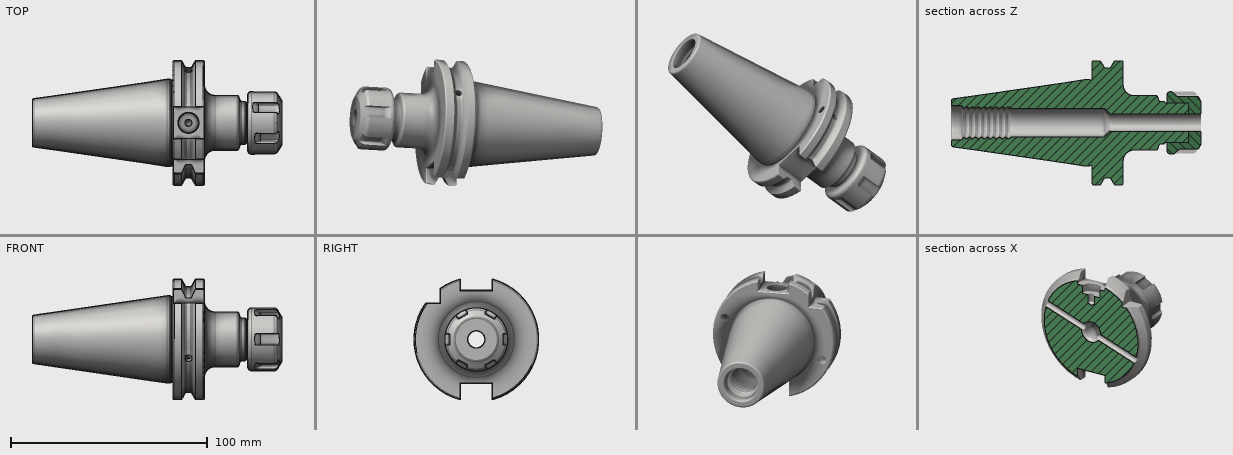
import cadquery as cq
import math


TAPER_RATIO = 7 / 24
GAUGE_X = 68.5
GAUGE_RADIUS = 22.2
SMALL_END_RADIUS = GAUGE_RADIUS - GAUGE_X * TAPER_RATIO / 2
SMALL_END_FILLET = 1.0
COLLAR_END_X = 69.9
RELIEF_START_X = 70.7
RELIEF_RADIUS = 21.8

FLANGE_X = 71.4
FLANGE_WIDTH = 16.0
FLANGE_END_X = FLANGE_X + FLANGE_WIDTH
FLANGE_RADIUS = 31.7
FLANGE_FILLET = 0.8
EDGE_BREAK = 0.32

GROOVE_X = 79.3
GROOVE_RADIUS = 28.0
GROOVE_FLOOR_WIDTH = 2.9
GROOVE_FLANK_ANGLE = 30.0
GROOVE_FILLET = 0.9

SLOT_WIDTH = 16.0
TOP_SLOT_FLOOR = 25.0
BOTTOM_SLOT_FLOOR = 22.5
NOTCH_EDGE = 18.5

CHIP_HOLE_RADIUS = 5.1
CHIP_HOLE_DEPTH = 4.5
CHIP_HOLE_CHAMFER = 0.3
DRILL_RADIUS = 1.8
DRILL_DEPTH = 8.9
DRILL_POINT_ANGLE = 59.0

CHANNEL_ANGLE = 20.0
CHANNEL_MOUTH_RADIUS = 26.9
CHANNEL_SLANT = 30.0
CHANNEL_RADIUS = 2.0

NOSE_RADIUS = 14.0
NOSE_BLEND = 5.3
NOSE_END_X = 104.7
NOSE_EDGE_FILLET = 1.0
NECK_X = 105.7
NECK_RADIUS = 10.9
NECK_ROOT_FILLET = 0.8
NECK_CHAMFER_X = 108.1
THREAD_RADIUS = 10.1

PILOT_RADIUS = 8.6
PILOT_MOUTH_FILLET = 0.8
PILOT_DEPTH = 5.3
DRAW_THREAD_X = 6.1
DRAW_THREAD_RADIUS = 7.1
DRAW_THREAD_END_X = 77.8
DRAW_THREAD_PITCH = 3.0
DRAW_THREAD_DEPTH = 1.0
DRAW_THREAD_TURNS = 8
THROUGH_RADIUS = 4.3

NUT_X = 109.4
NUT_END_X = 126.9
NUT_RADIUS = 16.0
NUT_BACK_FILLET = 2.0
NUT_CONE_X = 124.0
NUT_FACE_RADIUS = 11.0
NUT_FRONT_FILLET = 2.0
NUT_RIM_FILLET = 1.3
NUT_FRONT_WALL = 6.3
SEAT_X = NUT_END_X - NUT_FRONT_WALL

GRIP_COUNT = 6
GRIP_FLOOR = 13.5
GRIP_HALF_WIDTH = 2.9
GRIP_FILLET = 0.5
GRIP_START_X = 112.9
GRIP_EARLY_START = 1.0
GRIP_RAMP = 2.9

CLEAR = 38.0


def revolve_x(profile):
    """Turn a closed (x, radius) outline, drawn on the XZ plane, about the X axis."""
    return profile.close().revolve(360, (0, 0, 0), (1, 0, 0))


def box(x_range, y_range, z_range):
    """Box between pairs of limits along X, Y and Z."""
    lengths = [high - low for low, high in (x_range, y_range, z_range)]
    corner = (x_range[0], y_range[0], z_range[0])
    return cq.Workplane("XY").box(*lengths, centered=False).translate(corner)


def rod(start, direction, length, radius):
    """Round rod from a start point along a direction."""
    return cq.Workplane(cq.Solid.makeCylinder(radius, length, cq.Vector(*start), cq.Vector(*direction)))


def make_taper():
    """Shank from the small end to the flange."""
    shank = revolve_x(
        cq.Workplane("XZ")
        .lineTo(0, SMALL_END_RADIUS)
        .lineTo(GAUGE_X, GAUGE_RADIUS)
        .lineTo(COLLAR_END_X, GAUGE_RADIUS)
        .lineTo(RELIEF_START_X, RELIEF_RADIUS)
        .lineTo(FLANGE_X, RELIEF_RADIUS)
        .lineTo(FLANGE_X, 0)
    )
    return shank.faces("<X").edges().fillet(SMALL_END_FILLET)


def make_nose():
    """Blend, nose, neck and threaded end that goes into the nut."""
    neck_chamfer_length = NECK_RADIUS - THREAD_RADIUS
    nose = revolve_x(
        cq.Workplane("XZ")
        .moveTo(FLANGE_END_X, 0)
        .lineTo(FLANGE_END_X, NOSE_RADIUS + NOSE_BLEND)
        .radiusArc((FLANGE_END_X + NOSE_BLEND, NOSE_RADIUS), -NOSE_BLEND)
        .lineTo(NOSE_END_X, NOSE_RADIUS)
        .lineTo(NECK_X, NECK_RADIUS)
        .lineTo(NECK_CHAMFER_X, NECK_RADIUS)
        .lineTo(NECK_CHAMFER_X + neck_chamfer_length, THREAD_RADIUS)
        .lineTo(SEAT_X, THREAD_RADIUS)
        .lineTo(SEAT_X, 0)
    )
    nose = nose.edges(ring_at(NOSE_END_X)).fillet(NOSE_EDGE_FILLET)
    return nose.edges(ring_at(NECK_X)).fillet(NECK_ROOT_FILLET)


def ring_at(x):
    """Selector for the edges that lie across the axis at a given X."""
    margin = 0.01
    return cq.selectors.BoxSelector(
        (x - margin, -CLEAR, -CLEAR), (x + margin, CLEAR, CLEAR), boundingbox=True
    )


def cut_drive_slots(disc):
    """Cut both drive slots and the corner notch, and break their outer edges."""
    x_range = (FLANGE_X, FLANGE_END_X)
    half_slot = SLOT_WIDTH / 2
    top_slot = box(x_range, (-half_slot, half_slot), (TOP_SLOT_FLOOR, CLEAR))
    bottom_slot = box(x_range, (-half_slot, half_slot), (-CLEAR, -BOTTOM_SLOT_FLOOR))
    notch = box(x_range, (-CLEAR, -NOTCH_EDGE), (NOTCH_EDGE, CLEAR))
    disc = disc.cut(top_slot).cut(bottom_slot).cut(notch)
    slot_edges = disc.faces("|Y or |Z").edges()
    return slot_edges.filter(is_outer_edge).chamfer(EDGE_BREAK)


def is_outer_edge(edge):
    """True for a slot edge on a flange face or on the rim; the inside corners stay sharp."""
    center = edge.Center()
    mid_width = FLANGE_X + FLANGE_WIDTH / 2
    inside_disc = math.hypot(center.y, center.z) < FLANGE_RADIUS - EDGE_BREAK
    return not (inside_disc and abs(center.x - mid_width) < EDGE_BREAK)


def make_groove():
    """V groove around the flange, with rounded floor corners."""
    half_floor = GROOVE_FLOOR_WIDTH / 2
    half_mouth = half_floor + (CLEAR - GROOVE_RADIUS) * math.tan(math.radians(GROOVE_FLANK_ANGLE))
    groove = revolve_x(
        cq.Workplane("XZ")
        .moveTo(GROOVE_X - half_mouth, CLEAR)
        .lineTo(GROOVE_X - half_floor, GROOVE_RADIUS)
        .lineTo(GROOVE_X + half_floor, GROOVE_RADIUS)
        .lineTo(GROOVE_X + half_mouth, CLEAR)
    )
    for side in (-1, 1):
        groove = groove.edges(ring_at(GROOVE_X + side * half_floor)).fillet(GROOVE_FILLET)
    return groove


def make_flange():
    """Flange disc with drive slots, notch and V groove."""
    disc = cq.Workplane("YZ", (FLANGE_X, 0, 0)).circle(FLANGE_RADIUS).extrude(FLANGE_WIDTH)
    disc = disc.edges().fillet(FLANGE_FILLET)
    return cut_drive_slots(disc).cut(make_groove())


def make_bore():
    """Stepped bore: rounded pilot, core of the draw-bar thread, cone and through hole."""
    cone_length = DRAW_THREAD_RADIUS - THROUGH_RADIUS
    return revolve_x(
        cq.Workplane("XZ")
        .lineTo(0, PILOT_RADIUS + PILOT_MOUTH_FILLET)
        .radiusArc((PILOT_MOUTH_FILLET, PILOT_RADIUS), -PILOT_MOUTH_FILLET)
        .lineTo(PILOT_DEPTH, PILOT_RADIUS)
        .lineTo(DRAW_THREAD_X, DRAW_THREAD_RADIUS)
        .lineTo(DRAW_THREAD_END_X, DRAW_THREAD_RADIUS)
        .lineTo(DRAW_THREAD_END_X + cone_length, THROUGH_RADIUS)
        .lineTo(SEAT_X, THROUGH_RADIUS)
        .lineTo(SEAT_X, 0)
    )


def make_draw_thread():
    """V grooves of the draw-bar thread, as plain rings."""
    root_radius = DRAW_THREAD_RADIUS + DRAW_THREAD_DEPTH
    grooves = cq.Workplane("XZ").moveTo(DRAW_THREAD_X, 0).lineTo(DRAW_THREAD_X, DRAW_THREAD_RADIUS)
    for turn in range(DRAW_THREAD_TURNS):
        x = DRAW_THREAD_X + turn * DRAW_THREAD_PITCH
        grooves = grooves.lineTo(x + DRAW_THREAD_PITCH / 2, root_radius)
        grooves = grooves.lineTo(x + DRAW_THREAD_PITCH, DRAW_THREAD_RADIUS)
    return revolve_x(grooves.lineTo(DRAW_THREAD_X + DRAW_THREAD_TURNS * DRAW_THREAD_PITCH, 0))


def make_chip_hole():
    """Chamfered blind hole in the top slot, with a pointed drill hole at its centre."""
    hole = rod((GROOVE_X, 0, TOP_SLOT_FLOOR), (0, 0, -1), CHIP_HOLE_DEPTH, CHIP_HOLE_RADIUS)
    mouth_radius = CHIP_HOLE_RADIUS + CHIP_HOLE_CHAMFER
    mouth = cq.Workplane(
        cq.Solid.makeCone(
            mouth_radius, CHIP_HOLE_RADIUS, CHIP_HOLE_CHAMFER,
            cq.Vector(GROOVE_X, 0, TOP_SLOT_FLOOR), cq.Vector(0, 0, -1),
        )
    )
    drill = rod((GROOVE_X, 0, TOP_SLOT_FLOOR), (0, 0, -1), DRILL_DEPTH, DRILL_RADIUS)
    point_length = DRILL_RADIUS / math.tan(math.radians(DRILL_POINT_ANGLE))
    point = cq.Workplane(
        cq.Solid.makeCone(
            DRILL_RADIUS, 0, point_length,
            cq.Vector(GROOVE_X, 0, TOP_SLOT_FLOOR - DRILL_DEPTH), cq.Vector(0, 0, -1),
        )
    )
    return hole.union(mouth).union(drill).union(point)


def make_coolant_channel(angle):
    """Radial drill hole from the groove to the bore, met by a slanted hole from the flange face."""
    radial = rod((GROOVE_X, 0, 0), (0, 1, 0), CLEAR, DRILL_RADIUS)
    slant = math.radians(CHANNEL_SLANT)
    along = (math.cos(slant), -math.sin(slant), 0)
    lead_in = CHANNEL_RADIUS * 2
    start = (FLANGE_X - lead_in * along[0], CHANNEL_MOUTH_RADIUS - lead_in * along[1], 0)
    length = lead_in + (GROOVE_X - FLANGE_X) / along[0]
    slanted = rod(start, along, length, CHANNEL_RADIUS)
    return radial.union(slanted).rotate((0, 0, 0), (1, 0, 0), angle)


def make_holder():
    """Holder body: taper, flange and nose in one piece."""
    holder = make_taper().union(make_flange()).union(make_nose())
    holder = holder.cut(make_bore()).cut(make_draw_thread()).cut(make_chip_hole())
    for half_turn in (0, 180):
        holder = holder.cut(make_coolant_channel(CHANNEL_ANGLE + half_turn))
    return holder


def make_grip_slot(start_x):
    """Cutter for one wrench slot on the +Y side, with a sloping run-in and rounded floor corners."""
    overshoot = 1.3
    lead = overshoot * GRIP_RAMP / (NUT_RADIUS - GRIP_FLOOR)
    top = NUT_RADIUS + overshoot
    cutter = (
        cq.Workplane("XY")
        .moveTo(start_x - lead, top)
        .lineTo(start_x + GRIP_RAMP, GRIP_FLOOR)
        .lineTo(NUT_END_X, GRIP_FLOOR)
        .lineTo(NUT_END_X, top)
        .close()
        .extrude(GRIP_HALF_WIDTH, both=True)
    )
    side_edges = cutter.faces("|Z").edges("not |Y")
    floor_and_ramp = side_edges.filter(lambda edge: edge.Center().y < NUT_RADIUS)
    return floor_and_ramp.fillet(GRIP_FILLET)


def make_nut():
    """Clamping nut with a recess for the threaded nose and wrench slots around it."""
    nut = revolve_x(
        cq.Workplane("XZ")
        .moveTo(NUT_X, THREAD_RADIUS)
        .lineTo(NUT_X, NUT_RADIUS)
        .lineTo(NUT_CONE_X, NUT_RADIUS)
        .lineTo(NUT_END_X, NUT_FACE_RADIUS)
        .lineTo(NUT_END_X, THROUGH_RADIUS)
        .lineTo(SEAT_X, THROUGH_RADIUS)
        .lineTo(SEAT_X, THREAD_RADIUS)
    )
    nut = nut.edges(ring_at(NUT_CONE_X)).fillet(NUT_FRONT_FILLET)
    nut = nut.faces(">X").edges(cq.selectors.RadiusNthSelector(1)).fillet(NUT_RIM_FILLET)
    nut = nut.faces("<X").edges(cq.selectors.RadiusNthSelector(1)).fillet(NUT_BACK_FILLET)
    for index in range(GRIP_COUNT):
        angle = index * 360 / GRIP_COUNT
        on_plus_y = math.cos(math.radians(angle)) > 0
        start_x = GRIP_START_X - (GRIP_EARLY_START if on_plus_y else 0)
        nut = nut.cut(make_grip_slot(start_x).rotate((0, 0, 0), (1, 0, 0), angle))
    return nut


holder = make_holder()
nut = make_nut()
result = cq.Compound.makeCompound([holder.solids().val(), nut.solids().val()])